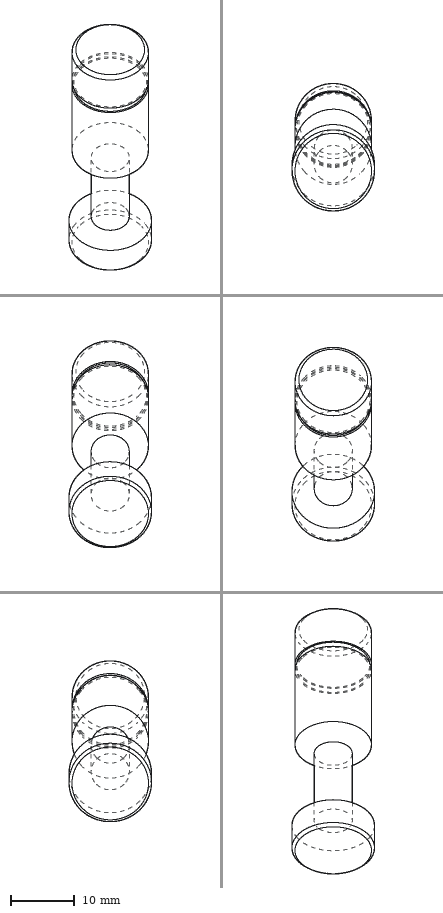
import cadquery as cq

total_height = 44.0
foot_diameter = 13.0
body_diameter = 12.0
neck_diameter = 6.0
groove_diameter = 11.5

foot_rim_top = 5.0
foot_cone_top = 5.9
neck_top = 19.3
body_bottom = 21.0
groove_bottom = 36.0
groove_width = 1.0

foot_chamfer = 0.5
top_chamfer_width = 0.6
top_chamfer_height = 0.55

foot_radius = foot_diameter / 2
body_radius = body_diameter / 2
neck_radius = neck_diameter / 2


def make_pin():
    """Revolve the half-section: foot, neck and body, each joined by a cone."""
    half_section = [
        (0, 0),
        (foot_radius - foot_chamfer, 0),
        (foot_radius, foot_chamfer),
        (foot_radius, foot_rim_top),
        (neck_radius, foot_cone_top),
        (neck_radius, neck_top),
        (body_radius, body_bottom),
        (body_radius, total_height - top_chamfer_height),
        (body_radius - top_chamfer_width, total_height),
        (0, total_height),
    ]
    return cq.Workplane("XZ").polyline(half_section).close().revolve(360, (0, 0), (0, 1))


def make_groove_ring():
    """Ring of material removed by the shallow groove around the body."""
    return (
        cq.Workplane("XY")
        .workplane(offset=groove_bottom)
        .circle(foot_radius)
        .circle(groove_diameter / 2)
        .extrude(groove_width)
    )


result = make_pin().cut(make_groove_ring())